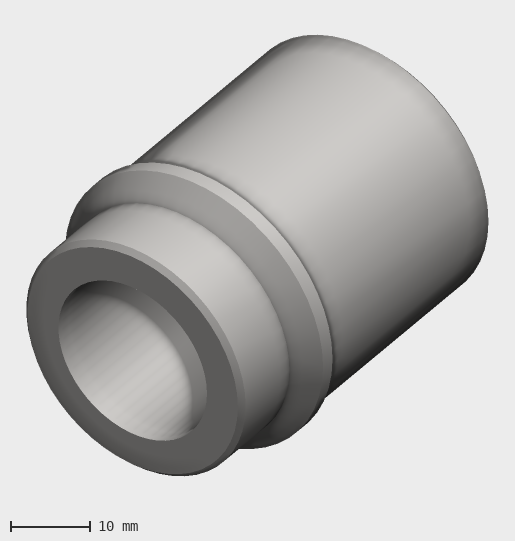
import cadquery as cq

length = 50.15
bore_radius = 23.0 / 2
nose_radius = 34.0 / 2
collar_radius = 40.0 / 2
body_radius = 38.0 / 2

nose_length = 10.0
collar_width = 2.0
edge_chamfer = 0.7

cone_end = nose_length + collar_radius - nose_radius
collar_end = cone_end + collar_width

half_section = [
    (bore_radius, 0),
    (nose_radius - edge_chamfer, 0),
    (nose_radius, edge_chamfer),
    (nose_radius, nose_length),
    (collar_radius, cone_end),
    (collar_radius, collar_end),
    (body_radius, collar_end),
    (body_radius, length - edge_chamfer),
    (body_radius - edge_chamfer, length),
    (bore_radius, length),
]

result = (
    cq.Workplane("XY")
    .polyline(half_section)
    .close()
    .revolve(360, (0, 0, 0), (0, 1, 0))
    .translate((0, -length / 2, 0))
)